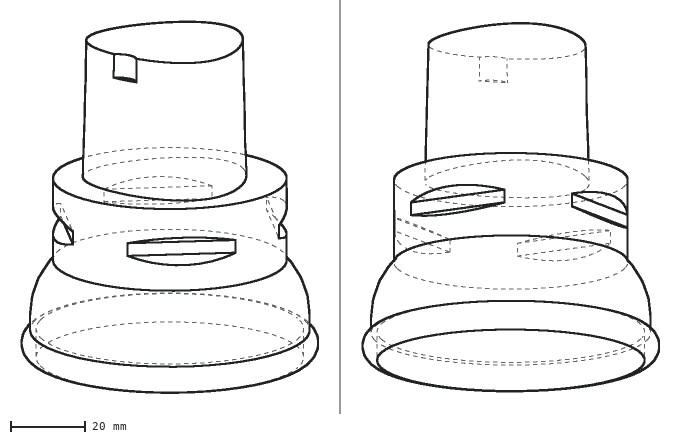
import cadquery as cq
import math

TOTAL_HEIGHT = 88.0
SHANK_BASE_Z = 49.9
FLANGE_BOTTOM_Z = 27.1
DOME_TOP_Z = 26.6
BAND_TOP_Z = 12.0

FLANGE_RADIUS = 63.0 / 2
BAND_RADIUS = 75.3 / 2
DOME_TOP_RADIUS = 31.8

RING_OUTER_RADIUS = 80.0 / 2
RIM_RADIUS = 4.0
RING_INNER_RADIUS = RING_OUTER_RADIUS - RIM_RADIUS

SHANK_MEAN_RADIUS = 22.0
LOBE_OFFSET = 1.6
TAPER = 1 / 20
OUTLINE_POINTS = 36

KEY_DEPTH = 6.5
KEY_RADIUS = 5.3
KEY_INNER_Y = -17.7

GROOVE_COUNT = 4
GROOVE_Z = 38.0
GROOVE_FLOOR_HALF_HEIGHT = 1.8
GROOVE_FLOOR_DISTANCE = 27.9
GROOVE_WALL_ANGLE = 30.0
CUT_CLEARANCE = 0.9


def ring_profile():
    """Half section of the ring: straight inside, half-round outside."""
    return (
        cq.Workplane("XZ")
        .moveTo(RING_INNER_RADIUS, 0)
        .threePointArc((RING_OUTER_RADIUS, RIM_RADIUS), (RING_INNER_RADIUS, 2 * RIM_RADIUS))
        .close()
    )


def make_cutting_ring():
    return ring_profile().revolve(360, (0, 0, 0), (0, 1, 0))


def make_round_body():
    """Revolved core, band, dome and flange, with a seat for the ring."""
    dome_inset = BAND_RADIUS - DOME_TOP_RADIUS
    dome_height = DOME_TOP_Z - BAND_TOP_Z
    arc_radius = (dome_inset**2 + dome_height**2) / (2 * dome_inset)
    half_angle = math.asin(dome_height / arc_radius) / 2
    dome_middle = (
        BAND_RADIUS - arc_radius * (1 - math.cos(half_angle)),
        BAND_TOP_Z + arc_radius * math.sin(half_angle),
    )
    blank = (
        cq.Workplane("XZ")
        .moveTo(0, 0)
        .lineTo(RING_INNER_RADIUS, 0)
        .lineTo(RING_INNER_RADIUS, RIM_RADIUS)
        .lineTo(BAND_RADIUS, RIM_RADIUS)
        .lineTo(BAND_RADIUS, BAND_TOP_Z)
        .threePointArc(dome_middle, (DOME_TOP_RADIUS, DOME_TOP_Z))
        .lineTo(FLANGE_RADIUS, FLANGE_BOTTOM_Z)
        .lineTo(FLANGE_RADIUS, SHANK_BASE_Z)
        .lineTo(0, SHANK_BASE_Z)
        .close()
        .revolve(360, (0, 0, 0), (0, 1, 0))
    )
    return blank.cut(make_cutting_ring())


def lobed_outline(mean_radius):
    """Points of a three-lobed trochoid with one lobe toward +Y."""
    points = []
    for index in range(OUTLINE_POINTS):
        angle = 2 * math.pi * index / OUTLINE_POINTS
        x = -mean_radius * math.sin(angle) + LOBE_OFFSET * math.sin(2 * angle)
        y = mean_radius * math.cos(angle) + LOBE_OFFSET * math.cos(2 * angle)
        points.append((x, y))
    return points


def make_shank():
    length = TOTAL_HEIGHT - SHANK_BASE_Z
    top_radius = SHANK_MEAN_RADIUS - length * TAPER / 2
    shank = (
        cq.Workplane("XY", origin=(0, 0, SHANK_BASE_Z))
        .spline(lobed_outline(SHANK_MEAN_RADIUS), periodic=True)
        .close()
        .workplane(offset=length)
        .spline(lobed_outline(top_radius), periodic=True)
        .close()
        .loft(ruled=True)
    )
    key_notch = (
        cq.Workplane("XY", origin=(0, KEY_INNER_Y - KEY_RADIUS, TOTAL_HEIGHT - KEY_DEPTH))
        .circle(KEY_RADIUS)
        .extrude(KEY_DEPTH + CUT_CLEARANCE)
    )
    return shank.cut(key_notch)


def make_groove_cutter():
    """Straight trapezoidal bar that cuts the groove on the +X side."""
    outer_distance = FLANGE_RADIUS + CUT_CLEARANCE
    wall_rise = (outer_distance - GROOVE_FLOOR_DISTANCE) * math.tan(math.radians(GROOVE_WALL_ANGLE))
    outer_half_height = GROOVE_FLOOR_HALF_HEIGHT + wall_rise
    return (
        cq.Workplane("XZ")
        .polyline([
            (GROOVE_FLOOR_DISTANCE, GROOVE_Z - GROOVE_FLOOR_HALF_HEIGHT),
            (outer_distance, GROOVE_Z - outer_half_height),
            (outer_distance, GROOVE_Z + outer_half_height),
            (GROOVE_FLOOR_DISTANCE, GROOVE_Z + GROOVE_FLOOR_HALF_HEIGHT),
        ])
        .close()
        .extrude(FLANGE_RADIUS, both=True)
    )


def make_holder():
    holder = make_round_body().union(make_shank())
    spacing = 360 / GROOVE_COUNT
    for index in range(GROOVE_COUNT):
        angle = (index + 0.5) * spacing
        holder = holder.cut(make_groove_cutter().rotate((0, 0, 0), (0, 0, 1), angle))
    return holder


holder = make_holder().solids()
cutting_ring = make_cutting_ring()

result = cq.Compound.makeCompound([holder.val(), cutting_ring.val()])